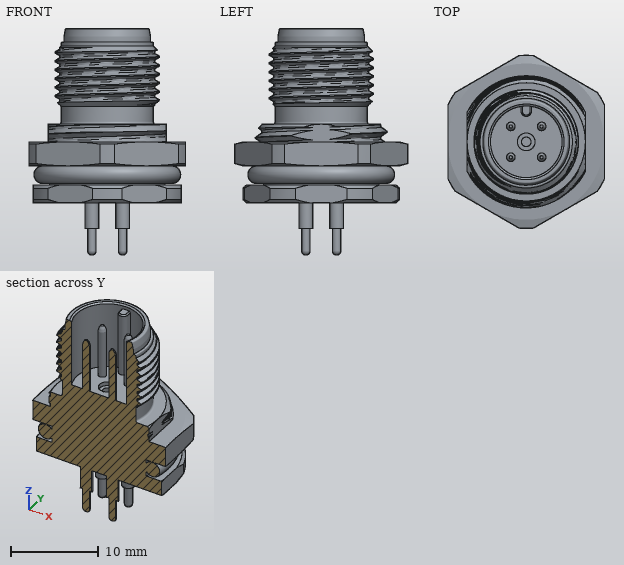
import cadquery as cq
import math

rim_z = 26.0
rim_taper_z = 25.05
collar_top_z = 24.45
thread_top_z = 24.0
thread_bottom_z = 17.08
neck_bottom_z = 15.03
nut_top_z = 13.0
nut_bottom_z = 10.25
ring_bottom_z = 8.22
flange_top_z = 8.05
flange_bottom_z = 6.0
pin_shoulder_z = 3.05
contact_tip_z = 24.0
floor_z = thread_bottom_z

rim_radius = 4.8
rim_edge_radius = 0.18
sleeve_radius = 5.0
collar_radius = 5.3
collar_edge_radius = 0.13
neck_foot_radius = 0.25
bore_radius = 4.1
bore_mouth_radius = 4.35
bore_chamfer_depth = 0.15

plug_crest_radius = 6.0
plug_root_radius = 5.45
plug_crest_span = 6.0
plug_crest_span_turns = 6
plug_pitch = plug_crest_span / plug_crest_span_turns
plug_crest_width = 0.13
plug_flank_angle = 60.0
plug_thread_phase_z = 23.76

mount_crest_radius = 7.6
mount_root_radius = 6.86
mount_pitch = 1.4
mount_crest_width = 0.08
mount_flank_angle = 70.0
mount_runout_slope = 1.1
mount_thread_phase_z = 13.1
mount_flat_width = 13.57

nut_across_flats = 18.0
nut_across_corners = 19.9
nut_corner_radius = nut_across_corners / 2
nut_face_radius = 8.97
nut_chamfer_height = 0.25
ring_outer_diameter = 16.87
ring_outer_radius = ring_outer_diameter / 2
body_neck_radius = 6.65
flange_across_flats = 17.0
flange_corner_radius = 9.0
flange_chamfer = 0.4

pin_offset = 1.77
pin_radius = 0.5
pin_shank_radius = 0.8
solder_tip_radius = 0.47
taper_height = 0.7
taper_mid_radius = 0.4
taper_end_radius = 0.18
shank_embed = 0.25
key_radius = 0.6
key_nose_y = 2.9
key_top_z = 25.43
key_chamfer = 0.15
recess_radius = 1.01
recess_depth = 0.52
recess_hole_radius = 0.55
recess_hole_depth = 1.55

cut_margin = 0.13
flank_steps = 8


def cylinder(radius, bottom_z, top_z):
    return cq.Workplane("XY").workplane(offset=bottom_z).circle(radius).extrude(top_z - bottom_z)


def turned(points):
    """Revolve an (r, z) outline about the Z axis."""
    return cq.Workplane("XZ").polyline(points).close().revolve(360, (0, 0), (0, 1))


def polar(radius, angle):
    return (radius * math.cos(angle), radius * math.sin(angle))


def threaded_rod(pitch, crest_radius, root_radius, crest_width, flank_angle, phase_z, bottom_z, top_z):
    """Right-handed threaded rod whose crest passes the +X side at phase_z.

    The level section of the thread, one crest arc and one root arc joined by two
    spiral flanks, is twisted one turn per pitch.
    """
    flank_height = (crest_radius - root_radius) * math.tan(math.radians(flank_angle / 2))
    crest_half_angle = math.pi * crest_width / pitch
    flank_sweep = 2 * math.pi * flank_height / pitch

    def flank_point(side, fraction):
        radius = crest_radius + (root_radius - crest_radius) * fraction
        return polar(radius, side * (crest_half_angle + flank_sweep * fraction))

    fractions = [step / flank_steps for step in range(flank_steps + 1)]
    length = top_z - bottom_z
    section = (
        cq.Workplane("XY").workplane(offset=bottom_z)
        .moveTo(*flank_point(-1, 0))
        .threePointArc((crest_radius, 0), flank_point(1, 0))
        .spline([flank_point(1, fraction) for fraction in fractions[1:]], includeCurrent=True)
        .threePointArc((-root_radius, 0), flank_point(-1, 1))
        .spline([flank_point(-1, fraction) for fraction in fractions[-2::-1]], includeCurrent=True)
        .close()
    )
    rod = section.twistExtrude(length, 360 * length / pitch)
    return rod.rotate((0, 0, 0), (0, 0, 1), 360 * (bottom_z - phase_z) / pitch)


def hex_plate(across_flats, corner_radius, face_radius, chamfer_height, bottom_z, top_z):
    """Hexagon with flats facing +X and -X, its corners turned down and chamfered."""
    half_corner_angle = 30
    corner_diameter = across_flats / math.cos(math.radians(half_corner_angle))
    hexagon = (
        cq.Workplane("XY").workplane(offset=bottom_z)
        .transformed(rotate=(0, 0, half_corner_angle))
        .polygon(6, corner_diameter)
        .extrude(top_z - bottom_z)
    )
    blank = turned([
        (0, bottom_z),
        (face_radius, bottom_z),
        (corner_radius, bottom_z + chamfer_height),
        (corner_radius, top_z - chamfer_height),
        (face_radius, top_z),
        (0, top_z),
    ])
    return hexagon.intersect(blank)


def plug_sleeve():
    rim = (
        turned([
            (0, collar_top_z),
            (sleeve_radius, collar_top_z),
            (sleeve_radius, rim_taper_z),
            (rim_radius, rim_z),
            (0, rim_z),
        ])
        .faces(">Z").edges().fillet(rim_edge_radius)
    )
    collar = cylinder(collar_radius, thread_top_z, collar_top_z).faces(">Z").edges().fillet(collar_edge_radius)
    foot_outer_radius = collar_radius + neck_foot_radius
    foot_mid_offset = neck_foot_radius * (1 - math.sqrt(0.5))
    neck = (
        cq.Workplane("XZ")
        .moveTo(0, neck_bottom_z)
        .lineTo(foot_outer_radius, neck_bottom_z)
        .threePointArc(
            (collar_radius + foot_mid_offset, neck_bottom_z + foot_mid_offset),
            (collar_radius, neck_bottom_z + neck_foot_radius),
        )
        .lineTo(collar_radius, thread_bottom_z)
        .lineTo(0, thread_bottom_z)
        .close()
        .revolve(360, (0, 0), (0, 1))
    )
    return rim.union(collar).union(neck)


def plug_thread():
    outer_radius = plug_crest_radius + cut_margin
    runout = outer_radius - collar_radius
    envelope = turned([
        (0, thread_bottom_z),
        (collar_radius, thread_bottom_z),
        (outer_radius, thread_bottom_z + runout),
        (outer_radius, thread_top_z - runout),
        (collar_radius, thread_top_z),
        (0, thread_top_z),
    ])
    rod = threaded_rod(
        plug_pitch, plug_crest_radius, plug_root_radius, plug_crest_width, plug_flank_angle,
        plug_thread_phase_z, thread_bottom_z - cut_margin, thread_top_z + cut_margin,
    )
    return rod.intersect(envelope)


def mount_thread():
    """Mounting thread, running one pitch down into the nut."""
    bottom_z = nut_top_z - mount_pitch
    rod = threaded_rod(
        mount_pitch, mount_crest_radius, mount_root_radius, mount_crest_width, mount_flank_angle,
        mount_thread_phase_z, bottom_z, neck_bottom_z + cut_margin,
    )
    land_radius = mount_flat_width / 2
    outer_radius = mount_crest_radius + cut_margin
    top_cut = turned([
        (0, neck_bottom_z),
        (land_radius, neck_bottom_z),
        (outer_radius, neck_bottom_z - (outer_radius - land_radius) * mount_runout_slope),
        (outer_radius, neck_bottom_z + 2 * cut_margin),
        (0, neck_bottom_z + 2 * cut_margin),
    ])
    flats = (
        cq.Workplane("XY").workplane(offset=bottom_z - cut_margin)
        .rect(mount_flat_width, 2 * outer_radius)
        .extrude(neck_bottom_z - bottom_z + 2 * cut_margin)
    )
    return rod.cut(top_cut).intersect(flats)


def sealing_ring():
    tube_radius = (nut_bottom_z - ring_bottom_z) / 2
    return (
        cq.Workplane("XZ")
        .center(ring_outer_radius - tube_radius, ring_bottom_z + tube_radius)
        .circle(tube_radius)
        .revolve(360, (tube_radius - ring_outer_radius, 0), (tube_radius - ring_outer_radius, 1))
    )


def bore():
    return turned([
        (0, floor_z),
        (bore_radius, floor_z),
        (bore_radius, rim_z - bore_chamfer_depth),
        (bore_mouth_radius, rim_z),
        (0, rim_z),
    ])


def key():
    nose_centre_y = key_nose_y + key_radius
    outer_y = (bore_mouth_radius + sleeve_radius) / 2
    return (
        cq.Workplane("XY").workplane(offset=floor_z)
        .moveTo(-key_radius, outer_y)
        .lineTo(-key_radius, nose_centre_y)
        .threePointArc((0, key_nose_y), (key_radius, nose_centre_y))
        .lineTo(key_radius, outer_y)
        .close()
        .extrude(key_top_z - floor_z)
        .faces(">Z").edges("not >Y").chamfer(key_chamfer)
    )


def contact():
    """Contact pin on the Z axis, running from its solder tip to its mating tip."""
    taper_base_z = contact_tip_z - taper_height
    shaft = cylinder(pin_radius, 0, taper_base_z).faces("<Z").edges().fillet(solder_tip_radius)
    shank = cylinder(pin_shank_radius, pin_shoulder_z, flange_bottom_z + shank_embed)
    mating_tip = turned([
        (0, taper_base_z),
        (pin_radius, taper_base_z),
        (taper_mid_radius, contact_tip_z - taper_height / 2),
        (taper_end_radius, contact_tip_z),
        (0, contact_tip_z),
    ])
    return shaft.union(shank).union(mating_tip)


nut = hex_plate(
    nut_across_flats, nut_corner_radius, nut_face_radius, nut_chamfer_height, nut_bottom_z, nut_top_z,
)
flange = hex_plate(
    flange_across_flats, flange_corner_radius, flange_corner_radius - flange_chamfer,
    flange_chamfer, flange_bottom_z, flange_top_z,
)
body_neck = cylinder(body_neck_radius, flange_top_z, nut_bottom_z)

result = flange.union(body_neck).union(sealing_ring()).union(nut)
result = result.union(mount_thread()).union(plug_sleeve()).union(plug_thread())
result = result.cut(bore())
result = result.cut(cylinder(recess_radius, floor_z - recess_depth, floor_z))
result = result.cut(cylinder(recess_hole_radius, floor_z - recess_hole_depth, floor_z))
result = result.union(key())
for x in (-pin_offset, pin_offset):
    for y in (-pin_offset, pin_offset):
        result = result.union(contact().translate((x, y, 0)))